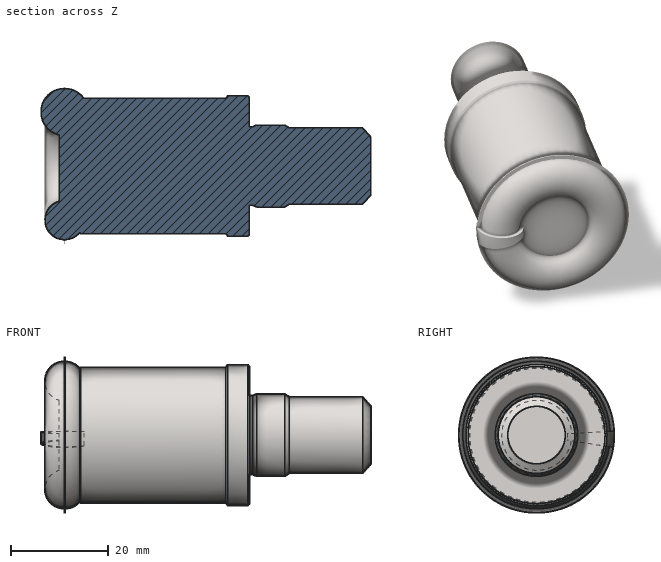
import cadquery as cq
import math

total_length = 68
body_start = 7.8
flange_start = 38.1
flange_end = 43.0
collar_start = 44.45
collar_end = 50.2
shank_start = 51.1
tip_chamfer_start = 66.2

body_radius = 28.0 / 2
flange_radius = 29.0 / 2
collar_radius = 17 / 2
neck_radius = 8.15
shank_radius = 15.8 / 2
tip_radius = 5.9

body_chamfer = 0.4
flange_chamfer = 0.4
neck_length = 0.7

ridge_tube_radius = 4.9
ring_tube_radius = 4.1
crest_radius = 32.0 / 2
ring_center_x = ridge_tube_radius
ring_center_radius = crest_radius - ridge_tube_radius
nose_face_radius = 7.2
rim_thickness = 0.2
ridge_span = 12
ridge_tilt = 3


def revolve_about_x(profile, angle=360):
    return profile.close().revolve(angle, (0, 0, 0), (1, 0, 0))


def make_ring(tube_radius, angle=360):
    profile = cq.Workplane("XY").center(ring_center_x, ring_center_radius).circle(tube_radius)
    return profile.revolve(angle, (0, -ring_center_radius, 0), (1, -ring_center_radius, 0))


def make_shaft():
    face_offset = ring_center_radius - nose_face_radius
    nose_face_x = ring_center_x - math.sqrt(ring_tube_radius**2 - face_offset**2)
    profile = (
        cq.Workplane("XY")
        .moveTo(nose_face_x, 0)
        .lineTo(nose_face_x, nose_face_radius)
        .lineTo(ring_center_x, ring_center_radius)
        .lineTo(body_start, body_radius - body_chamfer)
        .lineTo(body_start + body_chamfer, body_radius)
        .lineTo(flange_start, body_radius)
        .lineTo(flange_start + flange_chamfer, flange_radius)
        .lineTo(flange_end - flange_chamfer, flange_radius)
        .lineTo(flange_end, flange_radius - flange_chamfer)
        .lineTo(flange_end, neck_radius)
        .lineTo(flange_end + neck_length, neck_radius)
        .lineTo(collar_start, collar_radius)
        .lineTo(collar_end, collar_radius)
        .lineTo(shank_start, shank_radius)
        .lineTo(tip_chamfer_start, shank_radius)
        .lineTo(total_length, tip_radius)
        .lineTo(total_length, 0)
    )
    return revolve_about_x(profile)


def make_crest_rim():
    half_thickness = rim_thickness / 2
    profile = (
        cq.Workplane("XY")
        .moveTo(ring_center_x - half_thickness, ring_center_radius)
        .lineTo(ring_center_x - half_thickness, crest_radius)
        .lineTo(ring_center_x + half_thickness, crest_radius)
        .lineTo(ring_center_x + half_thickness, ring_center_radius)
    )
    return revolve_about_x(profile)


def make_ridge():
    start_angle = -ridge_span / 2 - ridge_tilt
    sector = make_ring(ridge_tube_radius, ridge_span)
    return sector.rotate((0, 0, 0), (1, 0, 0), start_angle)


result = make_shaft().union(make_ring(ring_tube_radius)).union(make_crest_rim()).union(make_ridge())